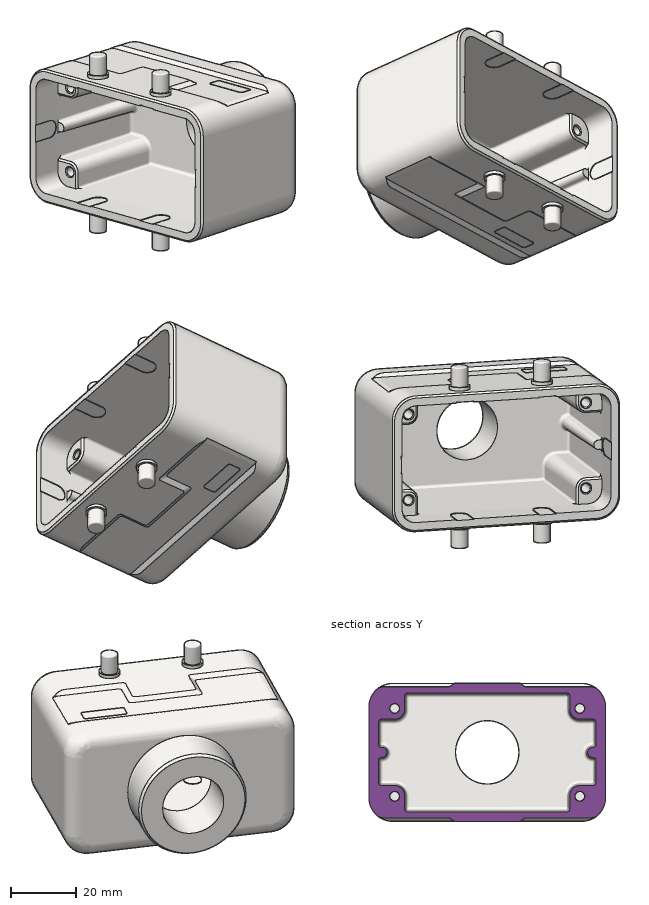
import cadquery as cq
import math

overall_width = 73.0
overall_length = 58.0
overall_height = 57.0
body_height = 42.85
body_length = 44.8
body_draft = 0.3
body_corner_radius = 7.5
back_radius = 4.6
mouth_chamfer = 0.6

neck_radius = 17.1
neck_chamfer_length = 1.0
neck_chamfer_width = 0.65
neck_flare = 0.3
neck_flare_length = 0.95
bore_radius = 9.7

opening_width = 67.0
opening_height = 36.8
opening_radius = 4.4
mouth_depth = 9.85
floor_thickness = 2.55
pocket_depth = body_length - floor_thickness - mouth_depth
pocket_draft = 1.2
wall_radius = 0.7
floor_radius = 0.95

boss_inner_x = 25.5
boss_inner_z = 10.3
boss_chamfer = 0.6
screw_x = 28.5
screw_z = 13.5
screw_radius = 1.45
screw_countersink = 0.33
screw_depth = 8.75
boss_round = screw_x - boss_inner_x

rib_radius = 1.45
rib_center_x = 32.4

pin_x = 13.2
pin_y = 6.3
pin_radius = 2.6
pin_tip_round = 0.45
collar_radius = 3.2
collar_height = 1.0

slot_width = 5.5
slot_length = 9.2
slot_depth = 0.2

recess_floor_z = 20.2
recess_front_y = 14.6
recess_back_y = 33.4
recess_bank_run = 1.75
tongue_half_width = 11.7
tongue_back_y = 24.7
tongue_round = 0.95

recess_edge_x = 31.9
recess_edge_angle = 13.0

badge_x = 20.9
badge_y = 29.3
badge_width = 13.7
badge_length = 4.45
badge_round = 0.7
badge_depth = 0.15


def along_y(y):
    """Work plane at the given Y whose extrusions run toward +Y."""
    return cq.Workplane(cq.Plane((0, y, 0), (1, 0, 0), (0, 1, 0)))


def both_sides(shape, plane):
    """The shape together with its mirror image across the given plane."""
    return shape.union(shape.mirror(plane))


def make_body():
    back_height = body_height - 2 * body_length * math.tan(math.radians(body_draft))
    side_profile = [
        (0, -body_height / 2),
        (body_length, -back_height / 2),
        (body_length, back_height / 2),
        (0, body_height / 2),
    ]
    body = cq.Workplane("YZ").polyline(side_profile).close().extrude(overall_width / 2, both=True)
    body = body.faces("<X or >X").edges("not |Z").fillet(body_corner_radius)
    body = body.faces(">Y").edges().fillet(back_radius)
    return body.faces("<Y").edges().chamfer(mouth_chamfer)


def make_neck():
    """Round neck, flared where it meets the back and chamfered at its free end."""
    root_y = body_length - back_radius
    flare_radius = neck_radius + neck_flare
    end_radius = neck_radius - neck_chamfer_width
    profile = [
        (0, root_y),
        (end_radius, root_y),
        (flare_radius, body_length - neck_flare),
        (flare_radius, body_length),
        (neck_radius, body_length + neck_flare_length),
        (neck_radius, overall_length - neck_chamfer_length),
        (end_radius, overall_length),
        (0, overall_length),
    ]
    return cq.Workplane("XY").polyline(profile).close().revolve(360, (0, 0, 0), (0, 1, 0))


def make_pin(x):
    """Pin with a collar, rooted in the top wall."""
    root_z = opening_height / 2 + slot_depth
    tip_z = overall_height / 2
    collar_z = body_height / 2 + collar_height
    root = cq.Workplane("XY", (x, pin_y, root_z))
    pin = root.circle(pin_radius).extrude(tip_z - root_z)
    pin = pin.faces(">Z").edges().fillet(pin_tip_round)
    return pin.union(root.circle(collar_radius).extrude(collar_z - root_z))


def make_boss():
    """Corner boss, growing with the draft toward the floor."""
    outer_x = overall_width / 2
    outer_z = body_height / 2
    boss = (
        along_y(mouth_depth)
        .moveTo(outer_x, boss_inner_z)
        .lineTo(screw_x, boss_inner_z)
        .radiusArc((boss_inner_x, boss_inner_z + boss_round), boss_round)
        .lineTo(boss_inner_x, outer_z)
        .lineTo(outer_x, outer_z)
        .close()
        .extrude(pocket_depth, taper=-pocket_draft)
    )
    return boss.faces("<Y").edges().chamfer(boss_chamfer)


def make_rib():
    """Half-round rib on the +X wall, growing with the draft toward the floor."""
    reach = overall_width / 2 - rib_center_x
    return (
        along_y(mouth_depth)
        .center(rib_center_x + reach / 2, 0)
        .slot2D(reach + 2 * rib_radius, 2 * rib_radius)
        .extrude(pocket_depth, taper=-pocket_draft)
    )


def wall_corners():
    """Selects the long edges where the bosses and ribs meet the pocket walls."""
    middle_y = mouth_depth + pocket_depth / 2
    middle_draft = math.tan(math.radians(pocket_draft)) * pocket_depth / 2
    wall_x = opening_width / 2 - middle_draft
    wall_z = opening_height / 2 - middle_draft
    corners = [
        (wall_x, boss_inner_z - middle_draft),
        (boss_inner_x - middle_draft, wall_z),
        (wall_x, rib_radius + middle_draft),
    ]
    mirrored = [(i * x, j * z) for x, z in corners for i in (1, -1) for j in (1, -1)]
    edges = [cq.selectors.NearestToPointSelector((x, middle_y, z)) for x, z in mirrored]
    selector = edges[0]
    for edge in edges[1:]:
        selector = selector + edge
    return selector


def make_cavity():
    mouth = along_y(0).rect(opening_width, opening_height).extrude(mouth_depth)
    mouth = mouth.edges("|Y").fillet(opening_radius)
    pocket = along_y(mouth_depth).rect(opening_width, opening_height)
    pocket = pocket.extrude(pocket_depth, taper=pocket_draft)
    bosses = both_sides(both_sides(make_boss(), "YZ"), "XY")
    ribs = both_sides(make_rib(), "YZ")
    pocket = pocket.cut(bosses).cut(ribs)
    pocket = pocket.edges(wall_corners()).fillet(wall_radius)
    pocket = pocket.faces(">Y").edges().fillet(floor_radius)
    return mouth.union(pocket)


def make_screw_holes():
    """Blind countersunk holes into the boss ends."""
    ends = along_y(mouth_depth).rect(2 * screw_x, 2 * screw_z, forConstruction=True).vertices()
    holes = ends.circle(screw_radius).extrude(screw_depth)
    countersinks = ends.circle(screw_radius + screw_countersink).extrude(screw_countersink, taper=45)
    return holes.union(countersinks)


def make_slots():
    """Round-ended slots from the mouth, cut into all four inner walls."""
    pin_slots = (
        cq.Workplane("XY", (0, 0, opening_height / 2))
        .pushPoints([(-pin_x, 0), (pin_x, 0)])
        .slot2D(2 * slot_length, slot_width, 90)
        .extrude(slot_depth)
    )
    side_slot = (
        cq.Workplane("YZ", (opening_width / 2, 0, 0))
        .slot2D(2 * slot_length, slot_width)
        .extrude(slot_depth)
    )
    return both_sides(pin_slots, "XY").union(both_sides(side_slot, "YZ"))


def recess_outline(growth):
    """Outline of the recess around its tongue, running out past both side faces."""
    tongue_x = tongue_half_width - growth
    tongue_y = tongue_back_y - growth
    front_y = recess_front_y - growth
    back_y = recess_back_y + growth
    points = [
        (-overall_width, back_y),
        (-overall_width, front_y),
        (-tongue_x, front_y),
        (-tongue_x, tongue_y),
        (tongue_x, tongue_y),
        (tongue_x, front_y),
        (overall_width, front_y),
        (overall_width, back_y),
        (-overall_width, back_y),
    ]
    tongue_corners = cq.selectors.BoxSelector(
        (-overall_width / 2, 0, -0.7), (overall_width / 2, body_length, 0.7)
    )
    return cq.Sketch().polygon(points).vertices(tongue_corners).fillet(tongue_round)


def make_recess():
    """Recess in the top face, its banks sloping out from the floor."""
    rise = body_height / 2 - recess_floor_z
    floor = recess_outline(0)
    rim = recess_outline(recess_bank_run).moved(cq.Location(cq.Vector(0, 0, rise)))
    base = cq.Workplane("XY", (0, 0, recess_floor_z))
    return base.placeSketch(floor, rim).loft(ruled=True)


def make_recess_edge():
    """Wedge that slopes the +X edge of the recess floor downward."""
    half_width = overall_width / 2
    drop = (half_width - recess_edge_x) * math.tan(math.radians(recess_edge_angle))
    wedge = [
        (recess_edge_x, recess_floor_z),
        (half_width, recess_floor_z),
        (half_width, recess_floor_z - drop),
    ]
    front = cq.Workplane("XZ", (0, recess_front_y, 0))
    return front.polyline(wedge).close().extrude(recess_front_y - recess_back_y)


def make_badge():
    badge = cq.Workplane("XY", (badge_x, badge_y, recess_floor_z - badge_depth))
    badge = badge.rect(badge_width, badge_length).extrude(badge_depth)
    return badge.edges("|Z").fillet(badge_round)


recess = make_recess().union(both_sides(make_recess_edge(), "YZ")).union(make_badge())
pins = both_sides(make_pin(-pin_x).union(make_pin(pin_x)), "XY")
bore = along_y(0).circle(bore_radius).extrude(overall_length)

result = (
    make_body()
    .union(make_neck())
    .cut(both_sides(recess, "XY"))
    .union(pins)
    .cut(make_cavity())
    .cut(make_slots())
    .cut(make_screw_holes())
    .cut(bore)
)